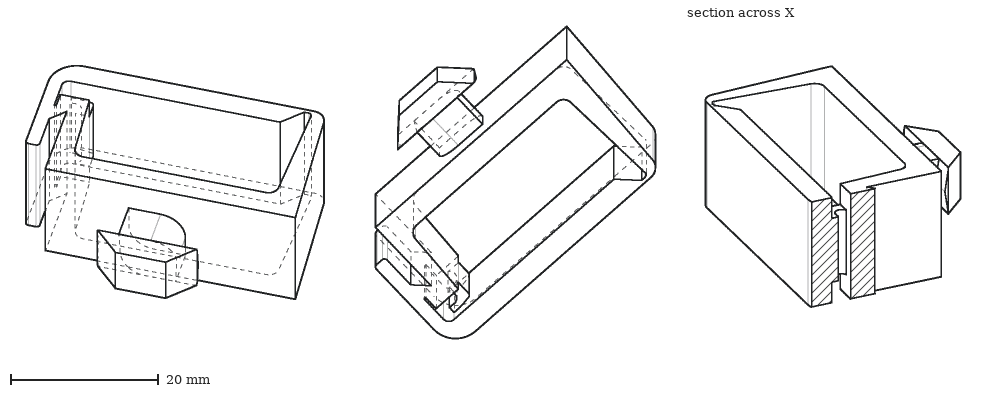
import cadquery as cq
import math

width = 39.0
body_depth = 19.95
height = 16.0
draft = math.tan(math.radians(3))

floor_thickness = 3.5
lid_underside = 16.77
post_outer_x = 3.9
post_inner_x = 6.85
post_top_y = 14.0
right_inner_x = 35.25
floor_fillet = 1.4
outer_left_radius = 4.0
outer_right_radius = 1.8

hinge_underside = 19.42
hinge_start_x = 35.0
hinge_radius = 0.45

arm_thickness = 1.95
arm_end_y = 3.98
arm_end_radius = 0.45
arm_inner_radius = 1.0
slot_width = 0.27
slot_bottom_y = 11.95
catch_low_y = 9.2

lip_recess = 3.12
lip_gap = 0.05
lip_tip_x = 3.05
lip_tip_thickness = 0.95
lip_right_x = 6.3
lip_embed = 0.4

foot_center_x = 19.58
foot_height = 7.05
stem_width = 7.95
stem_height = 7.02
stem_radius = stem_height / 2
head_flat_half = 3.5
head_half = 7.02
head_bottom_y = -8.55
head_edge_y = -5.1
head_ridge_y = -4.55


def prism(outline, thickness):
    """Extrude a closed XY outline symmetrically about Z = 0."""
    return outline.close().extrude(thickness / 2, both=True)


def round_at(solid, x, y, radius):
    """Round the vertical edge that passes through (x, y)."""
    reach = 0.02
    box = cq.selectors.BoxSelector((x - reach, y - reach, -0.4), (x + reach, y + reach, 0.4))
    return solid.edges(box).fillet(radius)


def make_frame():
    right_top_x = width - draft * body_depth
    post_top_x = post_inner_x - draft * (post_top_y - floor_thickness)
    hinge_inner_x = right_inner_x + draft * (hinge_underside - floor_thickness)
    lid_end_x = hinge_start_x - (hinge_underside - lid_underside)
    catch_top_y = catch_low_y + post_outer_x - arm_thickness
    slot_x = arm_thickness + slot_width
    points = [
        (post_outer_x, 0),
        (width, 0),
        (right_top_x, body_depth),
        (0, body_depth),
        (0, arm_end_y),
        (arm_thickness, arm_end_y),
        (arm_thickness, catch_low_y),
        (post_outer_x, catch_top_y),
    ]
    cavity_points = [
        (arm_thickness, slot_bottom_y),
        (slot_x, slot_bottom_y),
        (slot_x, post_top_y),
        (post_top_x, post_top_y),
        (post_inner_x, floor_thickness),
        (right_inner_x, floor_thickness),
        (hinge_inner_x, hinge_underside),
        (hinge_start_x, hinge_underside),
        (lid_end_x, lid_underside),
        (arm_thickness, lid_underside),
    ]
    frame = prism(cq.Workplane("XY").polyline(points), height)
    frame = frame.cut(prism(cq.Workplane("XY").polyline(cavity_points), height))
    roundings = [
        (0, body_depth, outer_left_radius),
        (right_top_x, body_depth, outer_right_radius),
        (0, arm_end_y, arm_end_radius),
        (arm_thickness, arm_end_y, arm_end_radius),
        (arm_thickness, lid_underside, arm_inner_radius),
        (post_inner_x, floor_thickness, floor_fillet),
        (right_inner_x, floor_thickness, floor_fillet),
        (hinge_inner_x, hinge_underside, hinge_radius),
    ]
    for x, y, radius in roundings:
        frame = round_at(frame, x, y, radius)
    return frame


def make_lip():
    """Hooked lip, set back from both end faces and just clear of the lid."""
    top_y = lid_underside - lip_gap
    root = (4.33, post_top_y)
    throat = (4.88, 14.98)
    hook_start_x = 4.05
    crown_mid = (4.45, 16.7)
    crown_end = (5.7, 16.5)
    shoulder_mid = (6.15, 16.35)
    shoulder_end_y = 16.0
    outline = (
        cq.Workplane("XY")
        .moveTo(root[0], post_top_y - lip_embed)
        .lineTo(*root)
        .threePointArc(throat, (hook_start_x, top_y - lip_tip_thickness))
        .lineTo(lip_tip_x, top_y - lip_tip_thickness)
        .lineTo(lip_tip_x, top_y)
        .threePointArc(crown_mid, crown_end)
        .threePointArc(shoulder_mid, (lip_right_x, shoulder_end_y))
        .lineTo(lip_right_x, post_top_y - lip_embed)
    )
    return prism(outline, height - 2 * lip_recess)


def make_stem():
    """Block with two diagonally opposite corners rounded, running from the base into the head."""
    stem = (
        cq.Workplane("XZ")
        .center(foot_center_x, 0)
        .rect(stem_width, stem_height)
        .extrude(-head_edge_y)
    )
    for side in (-1, 1):
        x = foot_center_x + side * stem_width / 2
        z = side * stem_height / 2
        corner = cq.selectors.NearestToPointSelector((x, head_edge_y / 2, z))
        stem = stem.edges("|Y").edges(corner).fillet(stem_radius)
    return stem


def make_head():
    """Tapered bar whose inner face rises to a ridge along X."""
    flank_top_y = head_bottom_y + head_half - head_flat_half
    taper = prism(
        cq.Workplane("XY").polyline([
            (foot_center_x - head_flat_half, head_bottom_y),
            (foot_center_x + head_flat_half, head_bottom_y),
            (foot_center_x + head_half, flank_top_y),
            (foot_center_x + head_half, head_ridge_y),
            (foot_center_x - head_half, head_ridge_y),
            (foot_center_x - head_half, flank_top_y),
        ]),
        foot_height,
    )
    ridge = (
        cq.Workplane("YZ", origin=(foot_center_x, 0, 0))
        .polyline([
            (head_bottom_y, -foot_height / 2),
            (head_edge_y, -foot_height / 2),
            (head_ridge_y, 0),
            (head_edge_y, foot_height / 2),
            (head_bottom_y, foot_height / 2),
        ])
        .close()
        .extrude(head_half, both=True)
    )
    return taper.intersect(ridge)


result = make_frame().union(make_lip()).union(make_stem()).union(make_head())